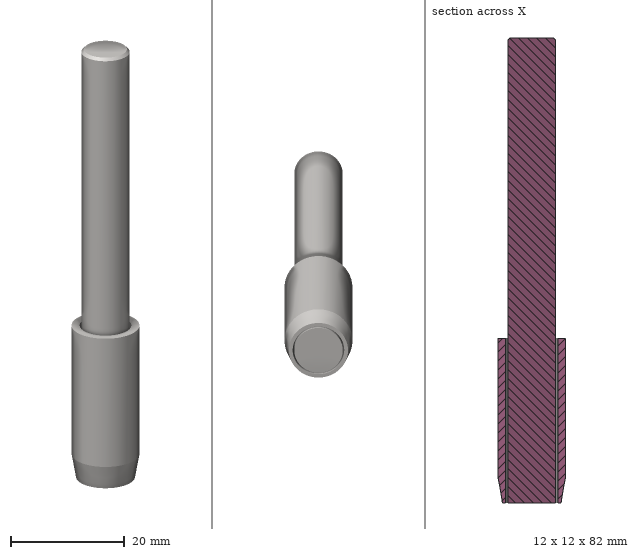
import cadquery as cq

total_length = 82.0

sleeve_diameter = 12.0
sleeve_length = 29.0
bore_diameter = 9.1
taper_length = 4.4
taper_end_diameter = 10.4

rod_diameter = 8.5
rod_chamfer = 0.5


def make_sleeve():
    """Tube with a lead-in taper at the bottom, revolved about Z."""
    bore_radius = bore_diameter / 2
    outer_radius = sleeve_diameter / 2
    profile = (
        cq.Workplane("XZ")
        .moveTo(bore_radius, 0)
        .lineTo(taper_end_diameter / 2, 0)
        .lineTo(outer_radius, taper_length)
        .lineTo(outer_radius, sleeve_length)
        .lineTo(bore_radius, sleeve_length)
        .close()
    )
    return profile.revolve(360, (0, 0, 0), (0, 1, 0))


def make_rod():
    """Round rod, flush with the sleeve's bottom and chamfered at its top."""
    rod = cq.Workplane("XY").circle(rod_diameter / 2).extrude(total_length)
    return rod.faces(">Z").edges().chamfer(rod_chamfer)


sleeve = make_sleeve()
rod = make_rod()

result = cq.Compound.makeCompound([sleeve.val(), rod.val()])